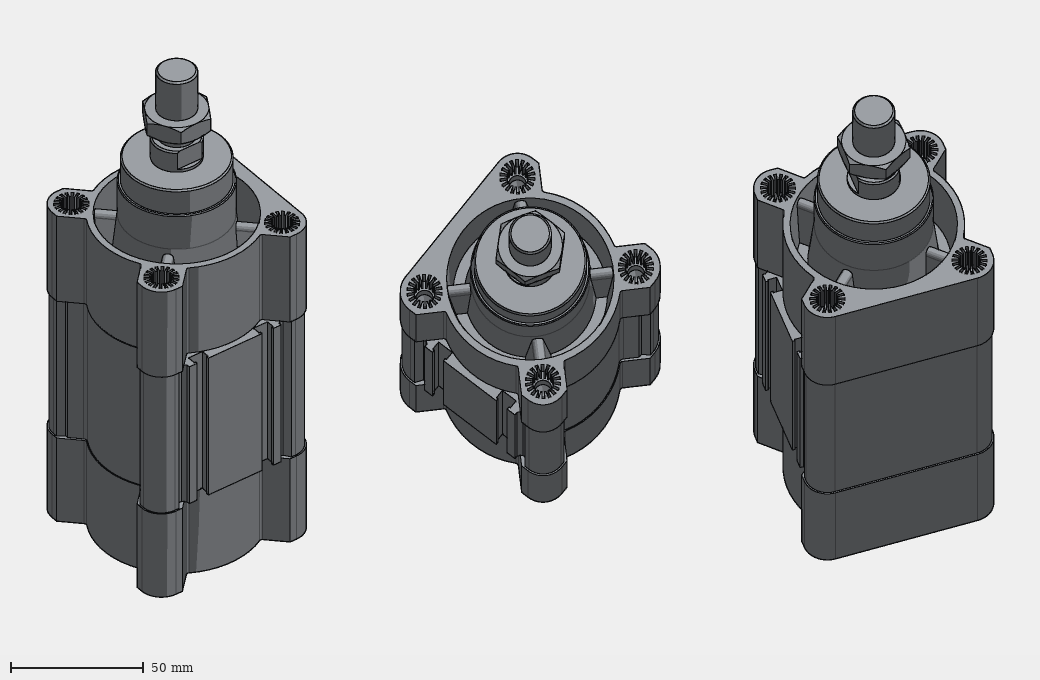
import cadquery as cq
import math

LENGTH = 218.0
FOOT_TOP = 4.5
BARREL_BOTTOM = 44.3
BARREL_TOP = 109.5
CAP_TOP = 150.0
COLLAR_TOP = 166.0
GLAND_TOP = 177.0
SHOULDER_TOP = 186.7
NECK_TOP = 189.3
THREAD_BOTTOM = 191.7
NUT_BOTTOM = 192.4
NUT_TOP = 200.0

CAP_SIZE = 75.0
CAP_HALF = CAP_SIZE / 2
SCREW_OFFSET = 28.4
CAP_CORE_RADIUS = 34.2
CAP_LUG_FLAT = 25.3
CAP_WEB_FILLET = 1.0

BARREL_HALF = 36.9
BARREL_CORE_RADIUS = 33.8
BARREL_LUG_FLAT = 26.4
BARREL_WEB_FILLET = 2.0
LEDGE_REACH = 34.0
LEDGE_OUTER = 24.5
LEDGE_INNER = 23.1
RAIL_EDGE = 21.5
RAIL_SLOPE_END = LEDGE_REACH + LEDGE_INNER - RAIL_EDGE

SLOT_CENTER = 15.3
SLOT_WIDTH = 6.5
SLOT_MOUTH_WIDTH = 5.2
SLOT_DEPTH = 4.5
SLOT_LIP = 1.0

COLLAR_DIAMETER = 45.0
FOOT_CHAMFER = 0.7
COLLAR_CHAMFER = 0.5
GLAND_DIAMETER = 42.5
GLAND_CHAMFER = 0.7

POCKET_FLOOR = 128.7
POCKET_DIAMETER = 63.0
POCKET_DRAFT = 2.5
RIB_CREST_DIAMETER = 4.4
RIB_CREST_DROP = 2.2
RIB_BASE_WIDTH = 9.5

SOCKET_TEETH = 18
SOCKET_ROOT_DIAMETER = 13.3
SOCKET_TIP_DIAMETER = 8.0
TOOTH_TIP_ANGLE = 8.0
TOOTH_ROOT_ANGLE = 11.0
SOCKET_DEPTH = 11.0
BORE_DIAMETER = 6.5
BORE_DEPTH = 17.5
DRILL_POINT_ANGLE = 118.0

ROD_DIAMETER = 20.0
ROD_CHAMFER = 0.7
ROD_ACROSS_FLATS = 16.4
FLATS_BOTTOM = 178.5
NECK_DIAMETER = 14.5
RUNOUT_DIAMETER = 15.0
THREAD_DIAMETER = 16.0
THREAD_CHAMFER = 0.76

NUT_ACROSS_FLATS = 24.2
NUT_CHAMFER_ANGLE = 30.0

CORNERS = [(sx * SCREW_OFFSET, sy * SCREW_OFFSET) for sx in (-1, 1) for sy in (-1, 1)]


def cylinder(diameter, bottom, top):
    return cq.Workplane("XY").workplane(offset=bottom).circle(diameter / 2).extrude(top - bottom)


def block(x, y, width, depth, bottom, top):
    base = cq.Workplane("XY").workplane(offset=bottom).center(x, y)
    return base.rect(width, depth).extrude(top - bottom)


def cone(bottom_radius, top_radius, bottom, top):
    return cq.Workplane("XY").add(
        cq.Solid.makeCone(bottom_radius, top_radius, top - bottom, cq.Vector(0, 0, bottom))
    )


def lug_arc_middle(half):
    """Distance along X and Y of the middle of a lug's round corner."""
    radius = half - SCREW_OFFSET
    return SCREW_OFFSET + radius / math.sqrt(2)


def core_meeting_point(core_radius, slope_offset):
    """Where the 45 degree lug side, long = short + slope_offset, meets the round core."""
    short = (math.sqrt(2 * core_radius**2 - slope_offset**2) - slope_offset) / 2
    return short, short + slope_offset


def fillet_webs(body, corners, radius):
    """Round the vertical inside corners where lugs meet the round core."""
    reach = 0.1
    for x, y in corners:
        box = cq.selectors.BoxSelector(
            (x - reach, y - reach, -LENGTH), (x + reach, y + reach, LENGTH)
        )
        body = body.edges("|Z").edges(box).fillet(radius)
    return body


def make_cap(bottom, top):
    """Square end cap: flat on +Y, waisted to a round core between the lugs elsewhere."""
    short, long = core_meeting_point(CAP_CORE_RADIUS, CAP_HALF - CAP_LUG_FLAT)
    middle = lug_arc_middle(CAP_HALF)
    cap = (
        cq.Workplane("XY")
        .workplane(offset=bottom)
        .moveTo(0, -CAP_CORE_RADIUS)
        .threePointArc(
            (CAP_CORE_RADIUS * math.sin(math.pi / 12), -CAP_CORE_RADIUS * math.cos(math.pi / 12)),
            (short, -long),
        )
        .lineTo(CAP_LUG_FLAT, -CAP_HALF)
        .lineTo(SCREW_OFFSET, -CAP_HALF)
        .threePointArc((middle, -middle), (CAP_HALF, -SCREW_OFFSET))
        .lineTo(CAP_HALF, -CAP_LUG_FLAT)
        .lineTo(long, -short)
        .threePointArc((CAP_CORE_RADIUS, 0), (long, short))
        .lineTo(CAP_HALF, CAP_LUG_FLAT)
        .lineTo(CAP_HALF, SCREW_OFFSET)
        .threePointArc((middle, middle), (SCREW_OFFSET, CAP_HALF))
        .lineTo(0, CAP_HALF)
        .mirrorY()
        .extrude(top - bottom)
    )
    front_webs = [(side * short, -long) for side in (-1, 1)]
    side_webs = [(side * long, end * short) for side in (-1, 1) for end in (-1, 1)]
    return fillet_webs(cap, front_webs + side_webs, CAP_WEB_FILLET)


def make_barrel():
    """Profiled barrel with stepped lugs, side rails and lipped sensor slots."""
    short, long = core_meeting_point(BARREL_CORE_RADIUS, LEDGE_REACH - LEDGE_INNER)
    middle = lug_arc_middle(BARREL_HALF)
    barrel = (
        cq.Workplane("XY")
        .workplane(offset=BARREL_BOTTOM)
        .moveTo(0, -BARREL_CORE_RADIUS)
        .threePointArc(
            (BARREL_CORE_RADIUS * math.sin(math.pi / 12), -BARREL_CORE_RADIUS * math.cos(math.pi / 12)),
            (short, -long),
        )
        .lineTo(LEDGE_INNER, -LEDGE_REACH)
        .lineTo(LEDGE_OUTER, -LEDGE_REACH)
        .lineTo(BARREL_LUG_FLAT, -BARREL_HALF)
        .lineTo(SCREW_OFFSET, -BARREL_HALF)
        .threePointArc((middle, -middle), (BARREL_HALF, -SCREW_OFFSET))
        .lineTo(BARREL_HALF, -BARREL_LUG_FLAT)
        .lineTo(LEDGE_REACH, -LEDGE_OUTER)
        .lineTo(LEDGE_REACH, -LEDGE_INNER)
        .lineTo(RAIL_SLOPE_END, -RAIL_EDGE)
        .lineTo(BARREL_HALF, -RAIL_EDGE)
        .lineTo(BARREL_HALF, RAIL_EDGE)
        .lineTo(RAIL_SLOPE_END, RAIL_EDGE)
        .lineTo(LEDGE_REACH, LEDGE_INNER)
        .lineTo(LEDGE_REACH, LEDGE_OUTER)
        .lineTo(BARREL_HALF, BARREL_LUG_FLAT)
        .lineTo(BARREL_HALF, SCREW_OFFSET)
        .threePointArc((middle, middle), (SCREW_OFFSET, BARREL_HALF))
        .lineTo(0, BARREL_HALF)
        .mirrorY()
        .extrude(BARREL_TOP - BARREL_BOTTOM)
    )
    barrel = fillet_webs(barrel, [(side * short, -long) for side in (-1, 1)], BARREL_WEB_FILLET)
    for side in (-1, 1):
        for end in (-1, 1):
            barrel = barrel.cut(make_slot(side, end))
    return barrel


def make_slot(side, end):
    """Lipped slot along Z, cut into the side face at X = side * BARREL_HALF."""
    y = end * SLOT_CENTER
    mouth_x = side * (BARREL_HALF - SLOT_DEPTH / 2)
    mouth = block(mouth_x, y, SLOT_DEPTH, SLOT_MOUTH_WIDTH, BARREL_BOTTOM, BARREL_TOP)
    inner_depth = SLOT_DEPTH - SLOT_LIP
    inner_x = side * (BARREL_HALF - SLOT_LIP - inner_depth / 2)
    inner = block(inner_x, y, inner_depth, SLOT_WIDTH, BARREL_BOTTOM, BARREL_TOP)
    return mouth.union(inner)


def make_ring_pocket():
    """Drafted ring-shaped pocket around the collar, open at the cap top."""
    outer = POCKET_DIAMETER / 2
    inner = COLLAR_DIAMETER / 2
    return cone(outer - POCKET_DRAFT, outer, POCKET_FLOOR, CAP_TOP).cut(
        cone(inner + POCKET_DRAFT, inner, POCKET_FLOOR, CAP_TOP)
    )


def make_ribs():
    """Four diagonal ribs across the pocket, with drafted sides and a round crest."""
    radius = RIB_CREST_DIAMETER / 2
    crest_center = CAP_TOP - RIB_CREST_DROP - radius
    span = POCKET_DIAMETER / 2
    ribs = cq.Workplane("XY")
    for angle in (45, 135):
        rib = (
            cq.Workplane("XZ")
            .moveTo(-RIB_BASE_WIDTH / 2, POCKET_FLOOR)
            .lineTo(RIB_BASE_WIDTH / 2, POCKET_FLOOR)
            .lineTo(radius, crest_center)
            .threePointArc((0, crest_center + radius), (-radius, crest_center))
            .close()
            .extrude(span, both=True)
            .rotate((0, 0, 0), (0, 0, 1), angle)
        )
        ribs = ribs.union(rib) if ribs.objects else rib
    return ribs


def make_screw_socket():
    """Serrated socket with a pilot bore and drill point below it, sunk from Z = 0."""
    points = []
    for tooth in range(SOCKET_TEETH):
        middle = 90 + tooth * 360 / SOCKET_TEETH
        for radius, turn in (
            (SOCKET_ROOT_DIAMETER / 2, -TOOTH_ROOT_ANGLE / 2),
            (SOCKET_TIP_DIAMETER / 2, -TOOTH_TIP_ANGLE / 2),
            (SOCKET_TIP_DIAMETER / 2, TOOTH_TIP_ANGLE / 2),
            (SOCKET_ROOT_DIAMETER / 2, TOOTH_ROOT_ANGLE / 2),
        ):
            angle = math.radians(middle + turn)
            points.append((radius * math.cos(angle), radius * math.sin(angle)))
    socket = cq.Workplane("XY").polyline(points).close().extrude(-SOCKET_DEPTH)
    point_height = BORE_DIAMETER / 2 / math.tan(math.radians(DRILL_POINT_ANGLE / 2))
    bore = cylinder(BORE_DIAMETER, -BORE_DEPTH, 0)
    point = cone(0, BORE_DIAMETER / 2, -BORE_DEPTH - point_height, -BORE_DEPTH)
    return socket.union(bore).union(point)


def make_housing():
    """Rear cap, barrel, front cap, collars and rod gland as one solid."""
    housing = make_cap(FOOT_TOP, BARREL_BOTTOM).union(make_barrel())

    front_cap = make_cap(BARREL_TOP, CAP_TOP)
    front_cap = front_cap.cut(make_ring_pocket().cut(make_ribs()))
    for x, y in CORNERS:
        front_cap = front_cap.cut(make_screw_socket().translate((x, y, CAP_TOP)))

    foot = cylinder(COLLAR_DIAMETER, 0, FOOT_TOP).faces("<Z").chamfer(FOOT_CHAMFER)
    collar = cylinder(COLLAR_DIAMETER, CAP_TOP, COLLAR_TOP).faces(">Z").chamfer(COLLAR_CHAMFER)
    gland = cylinder(GLAND_DIAMETER, COLLAR_TOP, GLAND_TOP).faces(">Z").chamfer(GLAND_CHAMFER)
    for piece in (front_cap, foot, collar, gland):
        housing = housing.union(piece)
    return housing


def make_rod():
    """Piston rod standing on the gland, with wrench flats, neck and threaded end."""
    rod = cylinder(ROD_DIAMETER, GLAND_TOP, SHOULDER_TOP).faces(">Z").chamfer(ROD_CHAMFER)
    flats = block(0, 0, ROD_ACROSS_FLATS, ROD_DIAMETER, FLATS_BOTTOM, SHOULDER_TOP)
    rod = rod.intersect(cylinder(ROD_DIAMETER, GLAND_TOP, FLATS_BOTTOM).union(flats))
    neck = cylinder(NECK_DIAMETER, SHOULDER_TOP, NECK_TOP)
    runout = cone(NECK_DIAMETER / 2, RUNOUT_DIAMETER / 2, NECK_TOP, THREAD_BOTTOM)
    thread = cylinder(THREAD_DIAMETER, THREAD_BOTTOM, LENGTH).faces(">Z").chamfer(THREAD_CHAMFER)
    return rod.union(neck).union(runout).union(thread)


def make_nut():
    """Hexagon lock nut with flats at +-X and its points turned down at both ends."""
    height = NUT_TOP - NUT_BOTTOM
    across_corners = NUT_ACROSS_FLATS / math.cos(math.pi / 6)
    nut = (
        cq.Workplane("XY")
        .workplane(offset=NUT_BOTTOM)
        .polygon(6, across_corners)
        .extrude(height)
        .rotate((0, 0, 0), (0, 0, 1), 30)
    )
    bevel_width = (across_corners - NUT_ACROSS_FLATS) / 2
    bevel_height = bevel_width * math.tan(math.radians(NUT_CHAMFER_ANGLE))
    turned = cylinder(across_corners, NUT_BOTTOM, NUT_TOP)
    turned = turned.faces(">Z or <Z").chamfer(bevel_height, bevel_width)
    return nut.intersect(turned).cut(cylinder(THREAD_DIAMETER, NUT_BOTTOM, NUT_TOP))


housing = make_housing()
rod = make_rod()
nut = make_nut()
result = cq.Compound.makeCompound([housing.val(), rod.val(), nut.val()])